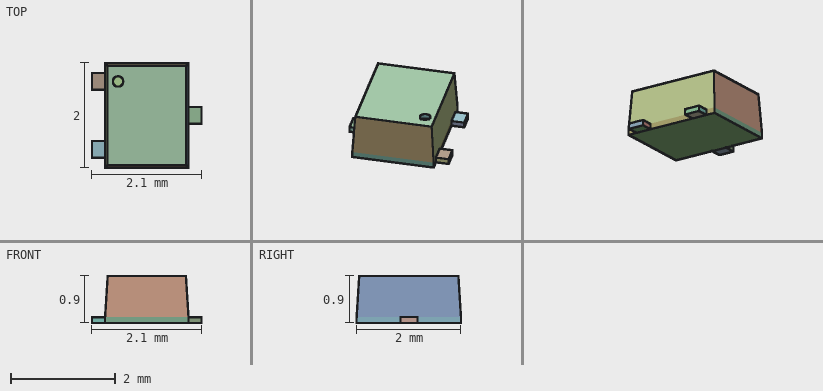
import cadquery as cq

body_length_x = 1.6
body_length_y = 2.0
body_height = 0.9
top_inset = 0.05

overall_length_x = 2.1
lead_thickness = 0.11
lead_width = 0.325
lead_pitch = 0.65

marker_diameter = 0.2
marker_depth = 0.1
marker_x = -0.55
marker_y = lead_pitch

lead_length = (overall_length_x - body_length_x) / 2
lead_centre_x = (body_length_x + lead_length) / 2

lead_positions = [
    (-lead_centre_x, lead_pitch),
    (-lead_centre_x, -lead_pitch),
    (lead_centre_x, 0),
]


def make_housing():
    """Moulded body: straight base as thick as the leads, tapered block above, pin 1 dimple."""
    base = cq.Workplane("XY").rect(body_length_x, body_length_y).extrude(lead_thickness)
    tapered_block = (
        cq.Workplane("XY", origin=(0, 0, lead_thickness))
        .rect(body_length_x, body_length_y)
        .workplane(offset=body_height - lead_thickness)
        .rect(body_length_x - 2 * top_inset, body_length_y - 2 * top_inset)
        .loft(ruled=True)
    )
    marker = (
        cq.Workplane("XY", origin=(marker_x, marker_y, body_height))
        .circle(marker_diameter / 2)
        .extrude(-marker_depth)
    )
    return base.union(tapered_block).cut(marker)


def make_lead(x, y):
    """Flat lead whose inner end butts against the side of the housing."""
    return (
        cq.Workplane("XY", origin=(x, y, 0))
        .rect(lead_length, lead_width)
        .extrude(lead_thickness)
    )


housing = make_housing()
leads = [make_lead(x, y) for x, y in lead_positions]

result = cq.Compound.makeCompound([housing.val(), *[lead.val() for lead in leads]])